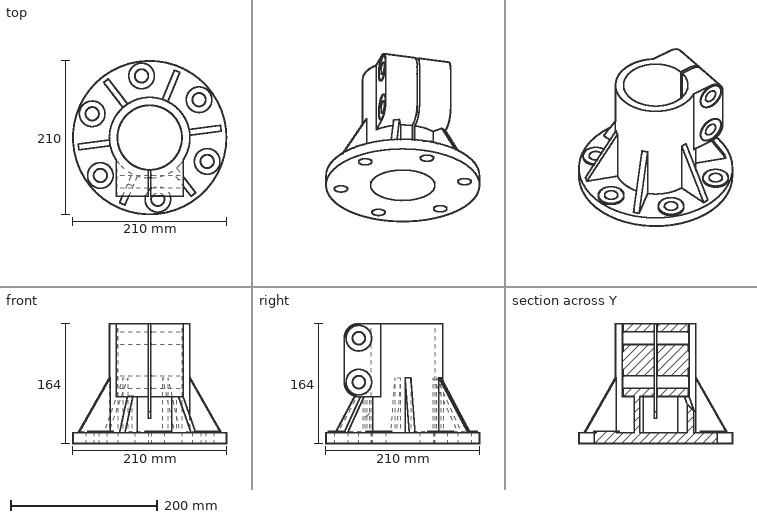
import cadquery as cq

FLANGE_DIAMETER = 210.0
FLANGE_THICKNESS = 15.0

TOTAL_HEIGHT = 164.0
TUBE_DIAMETER = 110.0
BORE_DIAMETER = 88.0
TUBE_RADIUS = TUBE_DIAMETER / 2

BOLT_COUNT = 6
BOLT_CIRCLE_RADIUS = 85.0
BOLT_HOLE_DIAMETER = 18.0
BOLT_FIRST_ANGLE = 37.5
PAD_DIAMETER = 35.0
PAD_HEIGHT = 2.0

RIB_COUNT = BOLT_COUNT
RIB_SPACING_ANGLE = 360.0 / RIB_COUNT
RIB_FIRST_ANGLE = BOLT_FIRST_ANGLE - RIB_SPACING_ANGLE / 2
RIB_THICKNESS = 8.0
RIB_HEIGHT = 75.0
RIB_FOOT_RADIUS = 98.0

CLAMP_WIDTH = 92.0
CLAMP_HEIGHT = 100.0
CLAMP_FRONT = 80.0
CLAMP_CORNER_RADIUS = 20.0
CLAMP_BOTTOM = TOTAL_HEIGHT - CLAMP_HEIGHT

SCREW_HOLE_DIAMETER = 17.0
SPOTFACE_DIAMETER = 35.0
SPOTFACE_DEPTH = 1.0
SCREW_Y = CLAMP_CORNER_RADIUS - CLAMP_FRONT
SCREW_HEIGHTS = (CLAMP_BOTTOM + CLAMP_CORNER_RADIUS, TOTAL_HEIGHT - CLAMP_CORNER_RADIUS)

SLOT_WIDTH = 3.5
SAW_DIAMETER = 100.0
SAW_CENTRE_Y = -CLAMP_FRONT
SAW_CENTRE_Z = 78.0


def cylinder_along_x(diameter, x_start, length, y, z):
    return cq.Workplane("YZ", origin=(x_start, y, z)).circle(diameter / 2).extrude(length)


def bolt_positions():
    return cq.Workplane("XY").polarArray(BOLT_CIRCLE_RADIUS, BOLT_FIRST_ANGLE, 360, BOLT_COUNT)


def make_flange():
    flange = cq.Workplane("XY").circle(FLANGE_DIAMETER / 2).extrude(FLANGE_THICKNESS)
    pads = bolt_positions().circle(PAD_DIAMETER / 2).extrude(FLANGE_THICKNESS + PAD_HEIGHT)
    return flange.union(pads)


def make_rib(angle):
    rib_top = FLANGE_THICKNESS + RIB_HEIGHT
    profile = [
        (0, 0),
        (RIB_FOOT_RADIUS, 0),
        (RIB_FOOT_RADIUS, FLANGE_THICKNESS),
        (TUBE_RADIUS, rib_top),
        (0, rib_top),
    ]
    rib = cq.Workplane("XZ").polyline(profile).close().extrude(RIB_THICKNESS / 2, both=True)
    return rib.rotate((0, 0, 0), (0, 0, 1), angle)


def make_clamp_block():
    block = cq.Workplane("XY").box(CLAMP_WIDTH, CLAMP_FRONT, CLAMP_HEIGHT, centered=(True, False, False))
    block = block.translate((0, -CLAMP_FRONT, CLAMP_BOTTOM))
    return block.faces("<Y").edges("|X").fillet(CLAMP_CORNER_RADIUS)


def make_screw_hole(z):
    half_width = CLAMP_WIDTH / 2
    hole = cylinder_along_x(SCREW_HOLE_DIAMETER, -half_width, CLAMP_WIDTH, SCREW_Y, z)
    for x_start in (-half_width, half_width - SPOTFACE_DEPTH):
        hole = hole.union(cylinder_along_x(SPOTFACE_DIAMETER, x_start, SPOTFACE_DEPTH, SCREW_Y, z))
    return hole


def make_saw_slot():
    saw_radius = SAW_DIAMETER / 2
    arc_end = cylinder_along_x(SAW_DIAMETER, -SLOT_WIDTH / 2, SLOT_WIDTH, SAW_CENTRE_Y, SAW_CENTRE_Z)
    straight = cq.Workplane("XY", origin=(0, SAW_CENTRE_Y, SAW_CENTRE_Z)).box(
        SLOT_WIDTH, saw_radius, TOTAL_HEIGHT - SAW_CENTRE_Z, centered=(True, False, False)
    )
    return arc_end.union(straight)


def make_part():
    body = make_flange()
    body = body.union(cq.Workplane("XY").circle(TUBE_RADIUS).extrude(TOTAL_HEIGHT))
    for index in range(RIB_COUNT):
        body = body.union(make_rib(RIB_FIRST_ANGLE + index * RIB_SPACING_ANGLE))
    body = body.union(make_clamp_block())

    body = body.cut(cq.Workplane("XY").circle(BORE_DIAMETER / 2).extrude(TOTAL_HEIGHT))
    bolt_hole_depth = FLANGE_THICKNESS + PAD_HEIGHT
    body = body.cut(bolt_positions().circle(BOLT_HOLE_DIAMETER / 2).extrude(bolt_hole_depth))
    for z in SCREW_HEIGHTS:
        body = body.cut(make_screw_hole(z))
    return body.cut(make_saw_slot())


result = make_part()